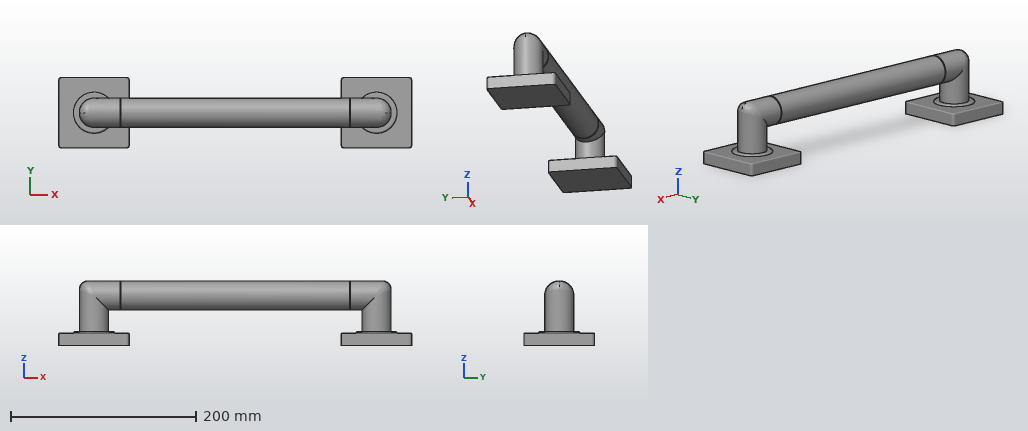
import cadquery as cq

overall_length = 381.0
overall_height = 69.98
plate_side = 76.2

plate_thickness = 13.5
plate_corner_radius = 3.175
plate_edge_radius = 1.27

collar_diameter = 44.45
collar_height = 1.6
collar_edge_radius = 1.5

tube_diameter = 31.75
tube_radius = tube_diameter / 2
elbow_edge_radius = 9.525

groove_offset = 28.7
groove_width = 1.0
groove_depth = 0.25

post_x = (overall_length - plate_side) / 2
rail_z = overall_height - tube_radius


def make_mitre_wedge():
    """Prism that holds everything above the 45 degree mitre planes, between the posts."""
    spread = post_x - rail_z
    top_z = 2 * rail_z
    outline = [(-spread, 0), (spread, 0), (spread + top_z, top_z), (-spread - top_z, top_z)]
    return cq.Workplane("XZ").polyline(outline).close().extrude(tube_diameter, both=True)


def make_sharp_handle():
    """Two posts and the rail, meeting in plain 45 degree mitres."""
    wedge = make_mitre_wedge()
    rail_half_length = post_x + tube_diameter
    rail = (
        cq.Workplane("YZ")
        .center(0, rail_z)
        .circle(tube_radius)
        .extrude(rail_half_length, both=True)
        .intersect(wedge)
    )
    posts = (
        cq.Workplane("XY", origin=(0, 0, plate_thickness))
        .pushPoints([(-post_x, 0), (post_x, 0)])
        .circle(tube_radius)
        .extrude(overall_height)
        .cut(wedge)
    )
    return rail.union(posts)


def make_rounded_quarter(handle):
    """The +X, +Y quarter of the handle, with the outer mitre edge rounded.

    Splitting at Y = 0 breaks the mitre ellipse into an outer (convex) and an inner
    (concave) edge, so that only the outer one is rounded.
    """
    quadrant = cq.Workplane("XY").box(overall_length, plate_side, 2 * overall_height, centered=False)
    outer_corner = (post_x + tube_radius, 0, overall_height)
    outer_edge = cq.selectors.NearestToPointSelector(outer_corner)
    return handle.intersect(quadrant).edges(outer_edge).fillet(elbow_edge_radius)


def make_handle():
    """Complete handle, from its rounded quarter and the mirror images of it."""
    quarter = make_rounded_quarter(make_sharp_handle())
    half = quarter.union(quarter.mirror("YZ"))
    return half.union(half.mirror("XZ"), clean=False)


def make_groove(x):
    """Ring that cuts the shallow groove around the rail at x."""
    return (
        cq.Workplane("YZ", origin=(x - groove_width / 2, 0, rail_z))
        .circle(tube_radius + groove_depth)
        .circle(tube_radius - groove_depth)
        .extrude(groove_width)
    )


def make_plate(x):
    """Square plate with rounded corners, rounded top edge and a round collar."""
    plate = (
        cq.Workplane("XY", origin=(x, 0, 0))
        .rect(plate_side, plate_side)
        .extrude(plate_thickness)
        .edges("|Z")
        .fillet(plate_corner_radius)
        .faces(">Z")
        .edges()
        .fillet(plate_edge_radius)
    )
    collar = (
        cq.Workplane("XY", origin=(x, 0, plate_thickness))
        .circle(collar_diameter / 2)
        .extrude(collar_height)
        .faces(">Z")
        .edges()
        .fillet(collar_edge_radius)
    )
    return plate.union(collar)


result = make_handle()
for side in (-1, 1):
    result = result.union(make_plate(side * post_x), clean=False)
    result = result.cut(make_groove(side * (post_x - groove_offset)), clean=False)